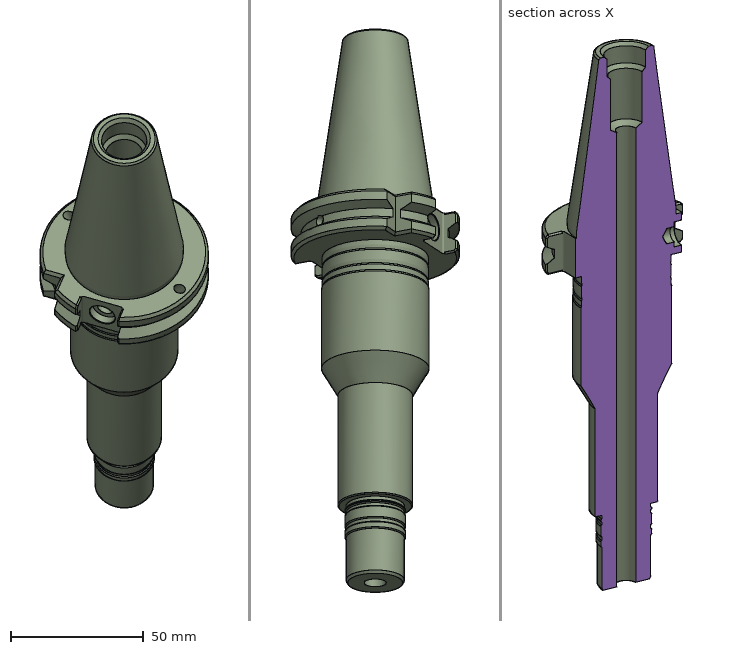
import cadquery as cq
import math

TOTAL_LENGTH = 217.8
GAUGE_Z = 149.4
FLANGE_TOP_Z = 146.5
FLANGE_BOTTOM_Z = 130.2
GROOVE_Z = 138.3
BODY_CONE_TOP_Z = 85.8
BODY_CONE_BOTTOM_Z = 75.1
SHANK_BOTTOM_Z = 30.7

GAUGE_DIAMETER = 44.5
TAPER_RATIO = 7 / 24
TAPER_BOTTOM_Z = 148.5
NECK_TOP_Z = 147.5
NECK_DIAMETER = 44.5
TAPER_END_CHAMFER = 0.7

BODY_DIAMETER = 40.5
COLLAR_DIAMETER = 40.0
COLLAR_BOTTOM_Z = 118.2
COLLAR_BEVEL_LENGTH = 0.7
SHANK_DIAMETER = 28.0
SHANK_CHAMFER = 0.5
NOSE_DIAMETER = 22.0
NOSE_CHAMFER_LENGTH = 1.0
NOSE_CHAMFER_DEPTH = 0.7

COLLAR_GROOVE_TOPS = [128.3, 122.4]
COLLAR_GROOVE_LENGTH = 2.0
COLLAR_GROOVE_RETURN = 0.7
COLLAR_GROOVE_DEPTH = 0.2

NOSE_RINGS = [(29.5, 28.0), (27.0, 22.0), (20.7, 17.9)]
RING_DIAMETER = 22.9
RING_BEVEL = 0.5

FLANGE_DIAMETER = 63.4
RIM_CHAMFER = 1.0
SLOT_MOUTH_CHAMFER = 0.7
GROOVE_FLOOR_DIAMETER = 56.0
GROOVE_FLOOR_WIDTH = 3.3
GROOVE_HALF_ANGLE = 30

SLOT_WIDTH = 16.1
SLOT_CORNER_RADIUS = 0.7
FRONT_SLOT_FLOOR = 24.5
BACK_SLOT_FLOOR = 22.6
NOTCH_CORNER = 18.7

SOCKET_RIM_DIAMETER = 10.5
SOCKET_DIAMETER = 10.0
SOCKET_DEPTH = 3.3
SOCKET_PILOT_DIAMETER = 6.0
SOCKET_PILOT_DEPTH = 6.5
DRILL_POINT_ANGLE = 118

PORT_ANGLES = [160, 340]
PORT_RADIUS = 27.0
PORT_DIAMETER = 4.0
PORT_TILT = 30
PLUG_DIAMETER = 4.0
PLUG_END_RADIUS = 25.0
CROSS_PORT_DIAMETER = 3.3

BORE_RIM_DIAMETER = 19.5
BORE_DIAMETER = 17.0
BORE_RIM_DEPTH = 1.3
BORE_DEPTH = 8.3
THREAD_DIAMETER = 14.0
THREAD_DEPTH = 30.5
COOLANT_DIAMETER = 8.3


def taper_radius(z):
    return (GAUGE_DIAMETER - (z - GAUGE_Z) * TAPER_RATIO) / 2


def revolve(profile):
    """Revolve a closed list of (radius, z) points around the tool axis."""
    return cq.Workplane("XZ").polyline(profile).close().revolve(360, (0, 0, 0), (0, 1, 0))


def drill_point(diameter, tip_diameter=0):
    return (diameter - tip_diameter) / 2 / math.tan(math.radians(DRILL_POINT_ANGLE / 2))


def make_shaft():
    top_radius = taper_radius(TOTAL_LENGTH)
    nose = NOSE_DIAMETER / 2
    shank = SHANK_DIAMETER / 2
    body = BODY_DIAMETER / 2
    collar = COLLAR_DIAMETER / 2
    neck = NECK_DIAMETER / 2
    return revolve([
        (0, 0),
        (nose - NOSE_CHAMFER_DEPTH, 0),
        (nose, NOSE_CHAMFER_LENGTH),
        (nose, SHANK_BOTTOM_Z),
        (shank - SHANK_CHAMFER, SHANK_BOTTOM_Z),
        (shank, SHANK_BOTTOM_Z + SHANK_CHAMFER),
        (shank, BODY_CONE_BOTTOM_Z),
        (body, BODY_CONE_TOP_Z),
        (body, COLLAR_BOTTOM_Z - COLLAR_BEVEL_LENGTH),
        (collar, COLLAR_BOTTOM_Z),
        (collar, FLANGE_BOTTOM_Z),
        (neck, FLANGE_BOTTOM_Z),
        (neck, NECK_TOP_Z),
        (taper_radius(TAPER_BOTTOM_Z), TAPER_BOTTOM_Z),
        (taper_radius(TOTAL_LENGTH - TAPER_END_CHAMFER), TOTAL_LENGTH - TAPER_END_CHAMFER),
        (top_radius - TAPER_END_CHAMFER, TOTAL_LENGTH),
        (0, TOTAL_LENGTH),
    ])


def make_nose_ring(top, bottom):
    outer = RING_DIAMETER / 2
    root = NOSE_DIAMETER / 2
    return revolve([
        (0, bottom),
        (root, bottom),
        (outer, bottom + RING_BEVEL),
        (outer, top - RING_BEVEL),
        (root, top),
        (0, top),
    ])


def make_collar_groove(top):
    """Shallow groove with a long slope above and a short return below."""
    outer = COLLAR_DIAMETER / 2
    bottom = top - COLLAR_GROOVE_LENGTH
    return revolve([
        (outer, top),
        (outer - COLLAR_GROOVE_DEPTH, bottom + COLLAR_GROOVE_RETURN),
        (outer, bottom),
    ])


def make_driving_slot(side, floor, corner_radius=0):
    """Block open outward along Y, with its floor at the given distance from the axis."""
    height = FLANGE_TOP_Z - FLANGE_BOTTOM_Z
    block = cq.Workplane("XY").box(SLOT_WIDTH, FLANGE_DIAMETER, height, centered=(True, True, False))
    if corner_radius:
        block = block.edges("|Z").fillet(corner_radius)
    return block.translate((0, side * (floor + FLANGE_DIAMETER / 2), 0))


def make_flange():
    """Flange with two driving slots, a corner notch, bevelled rims and the gripper groove."""
    height = FLANGE_TOP_Z - FLANGE_BOTTOM_Z
    notch_center = -NOTCH_CORNER - FLANGE_DIAMETER / 2
    notch = cq.Workplane("XY").box(FLANGE_DIAMETER, FLANGE_DIAMETER, height, centered=(True, True, False))
    flange = cq.Workplane("XY").circle(FLANGE_DIAMETER / 2).extrude(height)
    flange = flange.cut(notch.translate((notch_center, notch_center, 0)))
    flange = flange.faces("<Z or >Z").edges().chamfer(RIM_CHAMFER)

    slots = [(-1, FRONT_SLOT_FLOOR), (1, BACK_SLOT_FLOOR)]
    for side, floor in slots:
        flange = flange.cut(make_driving_slot(side, floor + SLOT_CORNER_RADIUS))
    slot_walls = cq.selectors.BoxSelector(
        (-SLOT_WIDTH, -FLANGE_DIAMETER, 0), (SLOT_WIDTH, FLANGE_DIAMETER, height)
    )
    wall_edges = flange.faces("|X").faces(slot_walls).edges()
    inner_limit = FRONT_SLOT_FLOOR + 2 * SLOT_CORNER_RADIUS
    outer_edges = wall_edges.filter(lambda edge: abs(edge.Center().y) > inner_limit)
    flange = outer_edges.chamfer(SLOT_MOUTH_CHAMFER)
    for side, floor in slots:
        flange = flange.cut(make_driving_slot(side, floor, SLOT_CORNER_RADIUS))
    flange = flange.translate((0, 0, FLANGE_BOTTOM_Z))
    return flange.cut(make_gripper_groove())


def make_gripper_groove():
    floor = GROOVE_FLOOR_DIAMETER / 2
    outer = FLANGE_DIAMETER / 2
    half_floor = GROOVE_FLOOR_WIDTH / 2
    half_mouth = half_floor + (outer - floor) * math.tan(math.radians(GROOVE_HALF_ANGLE))
    return revolve([
        (floor, GROOVE_Z - half_floor),
        (outer, GROOVE_Z - half_mouth),
        (outer, GROOVE_Z + half_mouth),
        (floor, GROOVE_Z + half_floor),
    ])


def make_socket():
    """Countersunk socket and pilot hole, entering along +Y from the front slot floor."""
    rim = SOCKET_RIM_DIAMETER / 2
    wall = SOCKET_DIAMETER / 2
    pilot = SOCKET_PILOT_DIAMETER / 2
    socket = cq.Workplane("XY").polyline([
        (0, 0),
        (rim, 0),
        (wall, rim - wall),
        (wall, SOCKET_DEPTH),
        (pilot, SOCKET_DEPTH),
        (pilot, SOCKET_PILOT_DEPTH),
        (0, SOCKET_PILOT_DEPTH + drill_point(SOCKET_PILOT_DIAMETER)),
    ]).close().revolve(360, (0, 0, 0), (0, 1, 0))
    return socket.translate((0, -FRONT_SLOT_FLOOR, GROOVE_Z))


def make_coolant_port(angle):
    """Port slanting inward from the flange face, met by a plugged radial port from the groove."""
    rise = FLANGE_TOP_Z - GROOVE_Z
    meeting_radius = PORT_RADIUS - rise * math.tan(math.radians(PORT_TILT))
    slope = cq.Vector(PORT_RADIUS - meeting_radius, 0, rise)
    meeting_point = cq.Vector(meeting_radius, 0, GROOVE_Z)
    port = cq.Solid.makeCylinder(PORT_DIAMETER / 2, slope.Length + PORT_DIAMETER, meeting_point, slope)

    outward = cq.Vector(1, 0, 0)
    mouth_radius = FLANGE_DIAMETER / 2
    plug_end = cq.Vector(PLUG_END_RADIUS, 0, GROOVE_Z)
    plug = cq.Solid.makeCylinder(PLUG_DIAMETER / 2, mouth_radius - PLUG_END_RADIUS, plug_end, outward)
    cross_length = mouth_radius - meeting_radius
    cross = cq.Solid.makeCylinder(CROSS_PORT_DIAMETER / 2, cross_length, meeting_point, outward)
    ports = cq.Workplane(obj=port).union(cq.Workplane(obj=cross)).union(cq.Workplane(obj=plug))
    return ports.rotate((0, 0, 0), (0, 0, 1), angle)


def make_bore():
    """Stepped bore from the small taper end, narrowing to a coolant channel through the nose."""
    rim = BORE_RIM_DIAMETER / 2
    bore = BORE_DIAMETER / 2
    thread = THREAD_DIAMETER / 2
    coolant = COOLANT_DIAMETER / 2
    bore_end = TOTAL_LENGTH - BORE_DEPTH
    thread_end = TOTAL_LENGTH - THREAD_DEPTH
    return revolve([
        (0, 0),
        (coolant, 0),
        (coolant, thread_end - drill_point(THREAD_DIAMETER, COOLANT_DIAMETER)),
        (thread, thread_end),
        (thread, bore_end - (bore - thread)),
        (bore, bore_end),
        (bore, TOTAL_LENGTH - BORE_RIM_DEPTH),
        (rim, TOTAL_LENGTH),
        (0, TOTAL_LENGTH),
    ])


result = make_shaft().union(make_flange())
for ring_top, ring_bottom in NOSE_RINGS:
    result = result.union(make_nose_ring(ring_top, ring_bottom))
for groove_top in COLLAR_GROOVE_TOPS:
    result = result.cut(make_collar_groove(groove_top))
result = result.cut(make_socket())
for port_angle in PORT_ANGLES:
    result = result.cut(make_coolant_port(port_angle))
result = result.cut(make_bore())